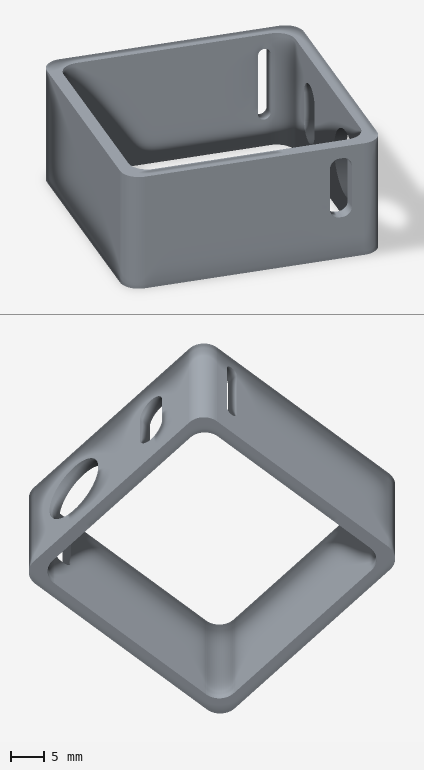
import cadquery as cq

side = 41.0
height = 19.0
wall = 2.0
outer_radius = 3.0
inner_radius = 3.0

narrow_slot_width = 2.0
narrow_slot_length = 12.0
narrow_slot_y = 14.5
narrow_slot_z = 10.5

medium_slot_corner_radius = 1.5
medium_slot_width = 3.5
medium_slot_length = 10.0
medium_slot_y = 13.75
medium_slot_z = 12.0

hole_diameter = 11.0
hole_x = 8.5
wide_slot_width = 5.0
wide_slot_length = 10.0
wide_slot_x = -8.9
middle_z = height / 2

cut_depth = 2 * wall
wall_centre = (side - wall) / 2


def rounded_block(width, radius):
    """Square block of full height with rounded vertical edges."""
    return cq.Workplane("XY").rect(width, width).extrude(height).edges("|Z").fillet(radius)


def slot_tool(plane, centre, length, width):
    """Upright slot cutter centred in the thickness of a wall."""
    return (
        cq.Workplane(plane, origin=centre)
        .slot2D(length, width, 90)
        .extrude(cut_depth / 2, both=True)
    )


frame = rounded_block(side, outer_radius).cut(rounded_block(side - 2 * wall, inner_radius))

narrow_slot = slot_tool(
    "YZ", (-wall_centre, narrow_slot_y, narrow_slot_z), narrow_slot_length, narrow_slot_width
)
medium_slot = (
    cq.Workplane("YZ", origin=(wall_centre, medium_slot_y, medium_slot_z))
    .rect(medium_slot_width, medium_slot_length)
    .extrude(cut_depth / 2, both=True)
    .edges("|X")
    .fillet(medium_slot_corner_radius)
)
wide_slot = slot_tool(
    "XZ", (wide_slot_x, wall_centre, middle_z), wide_slot_length, wide_slot_width
)
round_hole = (
    cq.Workplane("XZ", origin=(hole_x, wall_centre, middle_z))
    .circle(hole_diameter / 2)
    .extrude(cut_depth / 2, both=True)
)

result = frame.cut(narrow_slot).cut(medium_slot).cut(wide_slot).cut(round_hole)